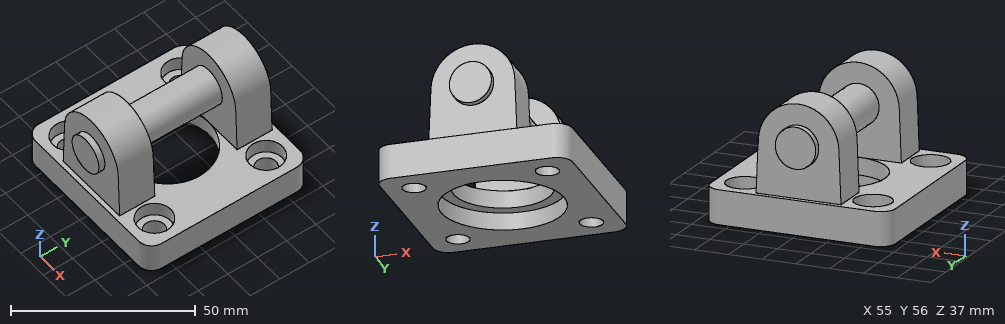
import cadquery as cq
import math

plate_side = 55.0
plate_thickness = 10.0
corner_radius = 4.5
bore_diameter = 28.0
recess_diameter = 35.0
recess_depth = 5.0

hole_spacing = 38.0
hole_diameter = 6.6
counterbore_diameter = 11.0
counterbore_depth = 4.6

total_height = 37.0
pin_length = 56.0
pin_diameter = 12.0
ear_radius = 12.0
ear_thickness = 12.0
ear_gap = 28.0
ear_base_width = 25.2
pin_height = total_height - ear_radius


def make_plate():
    """Rounded square plate with corner holes and a bore that widens on the underside."""
    recess = cq.Workplane("XY").circle(recess_diameter / 2).extrude(recess_depth)
    return (
        cq.Workplane("XY")
        .rect(plate_side, plate_side)
        .extrude(plate_thickness)
        .edges("|Z")
        .fillet(corner_radius)
        .faces(">Z")
        .workplane()
        .hole(bore_diameter)
        .faces(">Z")
        .workplane()
        .rect(hole_spacing, hole_spacing, forConstruction=True)
        .vertices()
        .cboreHole(hole_diameter, counterbore_diameter, counterbore_depth)
        .cut(recess)
    )


def make_ear(back_y):
    """Rounded ear with tapered flanks tangent to its top, from back_y toward -Y."""
    half_base = ear_base_width / 2
    rise = pin_height - plate_thickness
    base_distance = math.hypot(half_base, rise)
    tangent_angle = math.acos(ear_radius / base_distance) - math.atan2(rise, half_base)
    tangent_x = ear_radius * math.cos(tangent_angle)
    tangent_z = pin_height + ear_radius * math.sin(tangent_angle)
    return (
        cq.Workplane("XZ", origin=(0, back_y, 0))
        .moveTo(-half_base, plate_thickness)
        .lineTo(half_base, plate_thickness)
        .lineTo(tangent_x, tangent_z)
        .threePointArc((0, total_height), (-tangent_x, tangent_z))
        .close()
        .extrude(ear_thickness)
    )


def make_pin():
    """Pin along Y, protruding from both ears."""
    return (
        cq.Workplane("XZ", origin=(0, 0, pin_height))
        .circle(pin_diameter / 2)
        .extrude(pin_length / 2, both=True)
    )


result = make_plate()
for back_y in (-ear_gap / 2, ear_gap / 2 + ear_thickness):
    result = result.union(make_ear(back_y))
result = result.union(make_pin())